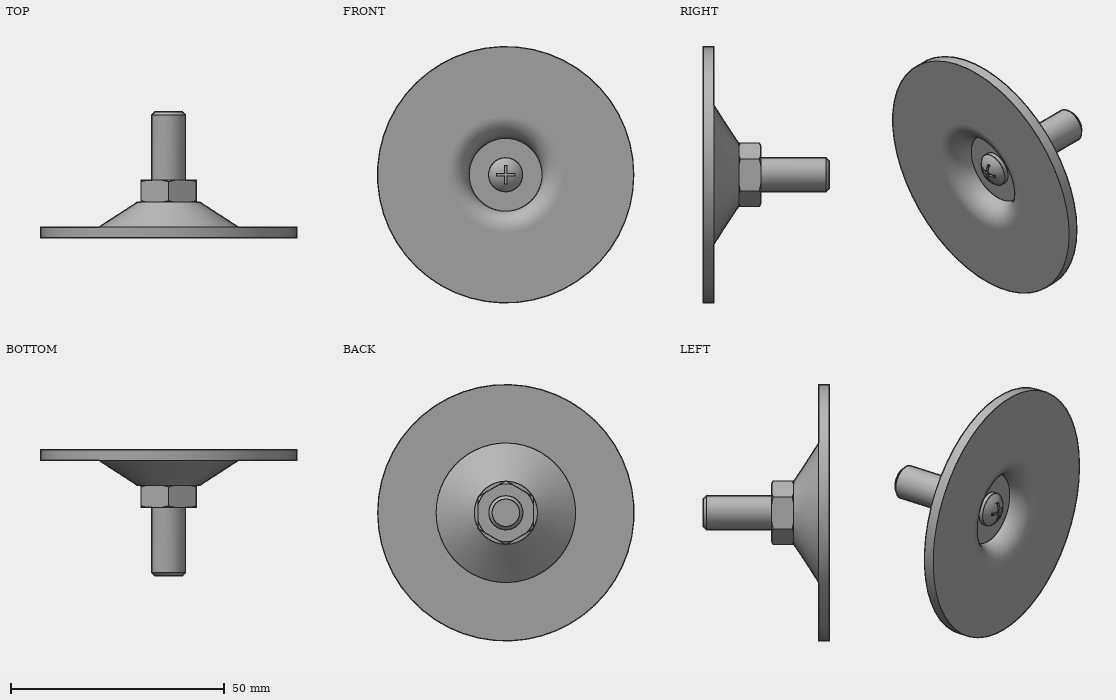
import cadquery as cq
import math

overall_height = 29.5
plate_diameter = 60.0
plate_thickness = 2.5

cone_base_radius = 16.3
cone_top_radius = 8.0
cone_height = 8.35
cone_edge_drop = 0.4
cone_edge_inset = 0.6

dish_floor_radius = 8.5
dish_depth = 5.0
dish_rim_radius = dish_floor_radius + dish_depth

shaft_diameter = 8.0
shaft_radius = shaft_diameter / 2
shaft_chamfer = 0.8

nut_across_flats = 12.95
nut_corner_radius = nut_across_flats / math.sqrt(3)
nut_height = 5.15
nut_chamfer_width = 0.7
nut_chamfer_height = 0.35

head_rim_height = 1.0
head_dome_height = 2.0

cross_length = 4.3
cross_width = 0.6
cross_depth = 0.7


def revolve_about_y(profile):
    """Revolve a closed (radius, y) profile through a full turn about Y."""
    return profile.close().revolve(360, (0, 0, 0), (0, 1, 0))


def make_base():
    """Plate with a conical hub and a dish whose wall is a quarter-round."""
    wall_mid_offset = dish_depth * math.sqrt(0.5)
    wall_mid = (dish_rim_radius - wall_mid_offset, dish_depth - wall_mid_offset)
    plate_radius = plate_diameter / 2
    profile = (
        cq.Workplane("XY")
        .moveTo(0, dish_depth)
        .lineTo(dish_floor_radius, dish_depth)
        .threePointArc(wall_mid, (dish_rim_radius, 0))
        .lineTo(plate_radius, 0)
        .lineTo(plate_radius, plate_thickness)
        .lineTo(cone_base_radius, plate_thickness)
        .lineTo(cone_top_radius, cone_height - cone_edge_drop)
        .lineTo(cone_top_radius - cone_edge_inset, cone_height)
        .lineTo(0, cone_height)
    )
    return revolve_about_y(profile)


def make_nut():
    """Hexagon nut with two corners on the Z direction and chamfered ends."""
    nut_top = cone_height + nut_height
    corners = [
        (nut_corner_radius * math.sin(math.radians(angle)), nut_corner_radius * math.cos(math.radians(angle)))
        for angle in range(0, 360, 60)
    ]
    hexagon = cq.Workplane("XZ", origin=(0, cone_height, 0)).polyline(corners).close().extrude(-nut_height)
    end_radius = nut_corner_radius - nut_chamfer_width
    envelope = (
        cq.Workplane("XY")
        .moveTo(0, cone_height)
        .lineTo(end_radius, cone_height)
        .lineTo(nut_corner_radius, cone_height + nut_chamfer_height)
        .lineTo(nut_corner_radius, nut_top - nut_chamfer_height)
        .lineTo(end_radius, nut_top)
        .lineTo(0, nut_top)
    )
    return hexagon.intersect(revolve_about_y(envelope))


def make_screw():
    """Shaft with a chamfered free end and a domed head inside the dish."""
    dome_start = dish_depth - head_rim_height
    dome_tip = dome_start - head_dome_height
    dome_radius = (shaft_radius**2 + head_dome_height**2) / (2 * head_dome_height)
    half_angle = math.asin(shaft_radius / dome_radius) / 2
    dome_mid = (
        dome_radius * math.sin(half_angle),
        dome_tip + dome_radius * (1 - math.cos(half_angle)),
    )
    profile = (
        cq.Workplane("XY")
        .moveTo(0, dome_tip)
        .threePointArc(dome_mid, (shaft_radius, dome_start))
        .lineTo(shaft_radius, overall_height - shaft_chamfer)
        .lineTo(shaft_radius - shaft_chamfer, overall_height)
        .lineTo(0, overall_height)
    )
    recess_floor = dome_tip + cross_depth
    recess = cq.Workplane("XZ", origin=(0, recess_floor, 0)).rect(cross_length, cross_width).extrude(recess_floor)
    return revolve_about_y(profile).cut(recess).cut(recess.rotate((0, 0, 0), (0, 1, 0), 90))


result = make_base().union(make_nut()).union(make_screw())